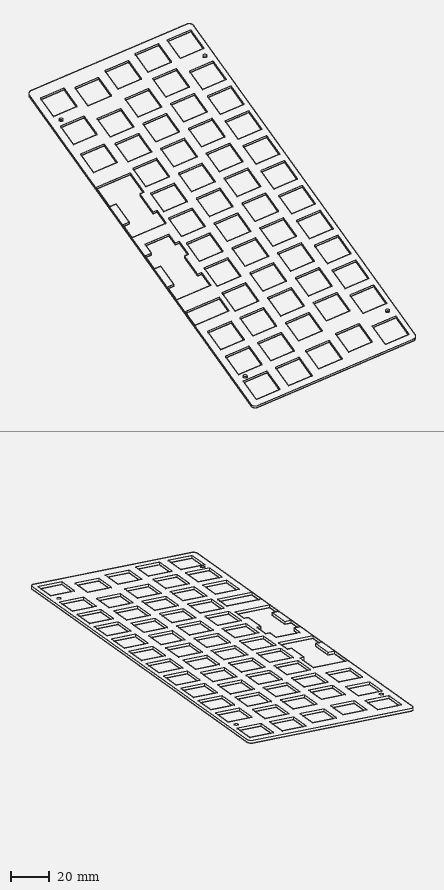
import cadquery as cq

LENGTH = 241.5
WIDTH = 96.9
THICKNESS = 1.6
CORNER_RADIUS = 2.5

GRID_LEFT_MARGIN = 2.0
GRID_RIGHT_MARGIN = 1.5
GRID_COLUMNS = 12.5
PITCH = (LENGTH - GRID_LEFT_MARGIN - GRID_RIGHT_MARGIN) / GRID_COLUMNS
TOP_ROW_DEPTH = 9.7
SWITCH = 14.0

KEY_ROWS = [
    [0.5] + [1.75 + i for i in range(10)] + [12.0],
    [0.5 + i for i in range(11)] + [11.75],
    [0.625] + [1.75 + i for i in range(10)] + [11.875],
    [0.75] + [2.0 + i for i in range(11)],
    [0.625, 1.75, 2.875, 10.0, 11.0, 12.0],
]
BOTTOM_ROW = len(KEY_ROWS) - 1

LEFT_WIDE_KEY = 4.875
SIDE_KEY = 6.5
RIGHT_WIDE_KEY = 7.375

LEFT_SLOT = (-47.5, -9.2)
RIGHT_SLOT = (4.8, 38.5)
END_SLOT = (47.5, 58.0)
SLOT_RISE = 9.5
EDGE_WEB = 0.2

HOLE_DIAMETER = 2.2
HOLE_CENTRES = [(-97.5, 43.7), (97.5, 43.7), (-96.1, -42.0), (100.5, -42.0)]


def key_x(column):
    return GRID_LEFT_MARGIN - LENGTH / 2 + column * PITCH


def key_y(row):
    return WIDTH / 2 - TOP_ROW_DEPTH - row * PITCH


def block(x_sides, y_sides):
    """Block through the full plate thickness, given by its sides."""
    x_min, x_max = x_sides
    y_min, y_max = y_sides
    solid = cq.Workplane("XY").box(x_max - x_min, y_max - y_min, THICKNESS)
    return solid.translate(((x_min + x_max) / 2, (y_min + y_max) / 2, 0))


def slot(x_sides):
    """Tall opening that leaves only a thin web along the front edge."""
    return block(x_sides, (EDGE_WEB - WIDTH / 2, key_y(BOTTOM_ROW) + SLOT_RISE))


def slot_around_key(x_sides, column):
    """Slot interrupted by the switch's width, so tabs stay above and below the switch."""
    centre = key_x(column)
    tab_sides = (centre - SWITCH / 2, centre + SWITCH / 2)
    return slot(x_sides).cut(block(tab_sides, (-WIDTH / 2, 0)))


def switch_cutouts():
    centres = [(key_x(column), key_y(row)) for row, columns in enumerate(KEY_ROWS) for column in columns]
    for column in (LEFT_WIDE_KEY, SIDE_KEY, RIGHT_WIDE_KEY):
        centres.append((key_x(column), key_y(BOTTOM_ROW)))
    sketch = cq.Workplane("XY").pushPoints(centres).rect(SWITCH, SWITCH)
    return sketch.extrude(THICKNESS / 2, both=True)


def mounting_holes():
    sketch = cq.Workplane("XY").pushPoints(HOLE_CENTRES).circle(HOLE_DIAMETER / 2)
    return sketch.extrude(THICKNESS / 2, both=True)


plate = cq.Workplane("XY").box(LENGTH, WIDTH, THICKNESS)
plate = plate.edges("|Z").fillet(CORNER_RADIUS)

plate = plate.cut(switch_cutouts())
plate = plate.cut(slot_around_key(LEFT_SLOT, LEFT_WIDE_KEY))
plate = plate.cut(slot_around_key(RIGHT_SLOT, RIGHT_WIDE_KEY))
plate = plate.cut(slot(END_SLOT))
plate = plate.cut(mounting_holes())

result = plate